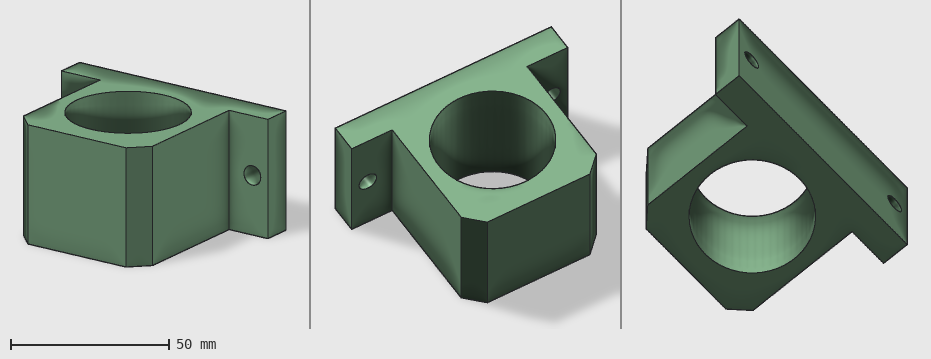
import cadquery as cq

plate_width = 80.0
plate_thickness = 10.0
height = 40.0

total_depth = 58.0
body_width = 50.0
corner_chamfer = 6.0

bore_diameter = 40.0

screw_diameter = 6.5
screw_spacing = 68.0

plate_front = bore_diameter / 2
plate_back = plate_front + plate_thickness
body_front = plate_back - total_depth


def make_plate():
    plate = cq.Workplane("XY").box(plate_width, plate_thickness, height, centered=(True, False, False))
    return plate.translate((0, plate_front, 0))


def make_body():
    """Block reaching the plate back, with its two front vertical edges chamfered."""
    body = cq.Workplane("XY").box(body_width, total_depth, height, centered=(True, False, False))
    return body.edges("|Z and <Y").chamfer(corner_chamfer).translate((0, body_front, 0))


def make_bore():
    return cq.Workplane("XY").circle(bore_diameter / 2).extrude(height)


def make_screw_holes():
    """Cylinders along Y at mid height, one in each wing."""
    return (
        cq.Workplane("XZ", origin=(0, plate_back, height / 2))
        .pushPoints([(-screw_spacing / 2, 0), (screw_spacing / 2, 0)])
        .circle(screw_diameter / 2)
        .extrude(plate_thickness)
    )


result = make_plate().union(make_body()).cut(make_bore()).cut(make_screw_holes())